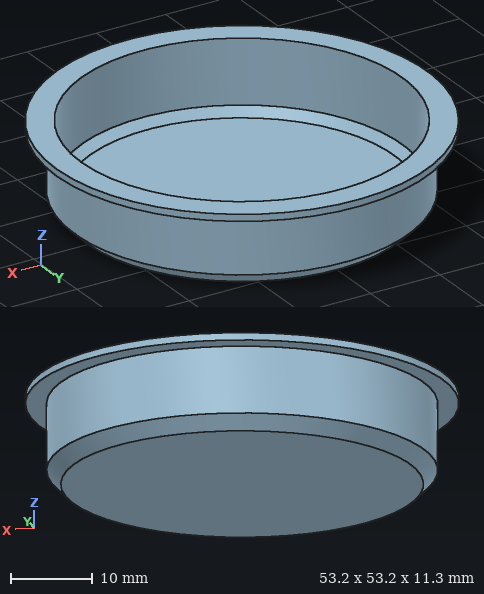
import cadquery as cq
import math

flange_diameter = 53.2
body_diameter = 48.0
bore_diameter = 46.0
height = 11.3
flange_thickness = 0.95
outer_chamfer = 1.75

wall = (body_diameter - bore_diameter) / 2
inner_chamfer = outer_chamfer - wall * (2 - math.sqrt(2))


def chamfered_disc(diameter, bottom, top, chamfer):
    """Solid disc on the Z axis with a 45 degree chamfer on its bottom edge."""
    disc = cq.Workplane("XY").workplane(offset=bottom).circle(diameter / 2).extrude(top - bottom)
    return disc.faces("<Z").edges().chamfer(chamfer)


body = chamfered_disc(body_diameter, 0, height, outer_chamfer)

flange = (
    cq.Workplane("XY")
    .workplane(offset=height - flange_thickness)
    .circle(flange_diameter / 2)
    .extrude(flange_thickness)
)

cavity = chamfered_disc(bore_diameter, wall, height, inner_chamfer)

result = body.union(flange).cut(cavity)